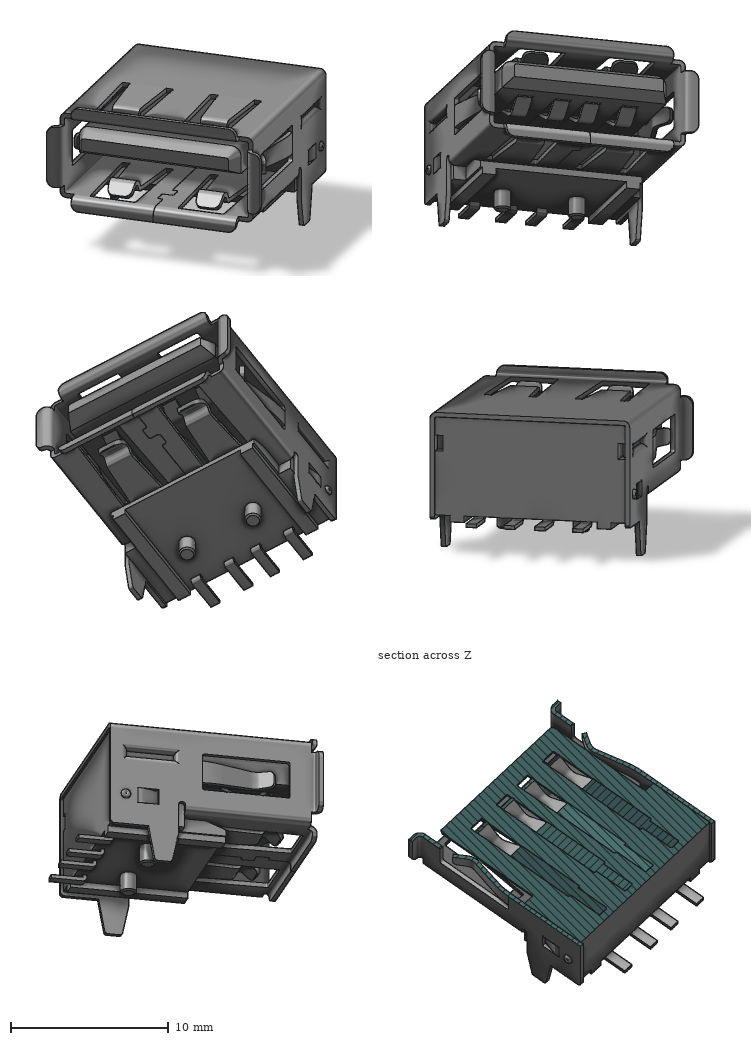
import cadquery as cq
import math


SHEET = 0.3
SHELL_HALF_WIDTH = 6.55
SHELL_TOP = 7.08
SHELL_BOTTOM = 1.34
SHELL_FRONT = 0.61
SHELL_BACK = 13.8
SHELL_CORNER = 0.43
FLOOR_BACK = 8.88

INNER_HALF_WIDTH = SHELL_HALF_WIDTH - SHEET
INNER_TOP = SHELL_TOP - SHEET
MID_Z = (SHELL_TOP + SHELL_BOTTOM) / 2

LIP_BEND = 0.4
LIP_CORNER = 0.53
LIP_REACH_Z = 0.64
LIP_HALF_WIDTH_X = 5.6
SIDE_LIP_TIP = 7.25
SIDE_LIP_HALF_HEIGHT = 2.05

SEAM_GAP = 0.02
LOBE_HALF_WIDTH = 0.38
LOBE_LENGTH = 0.85
LOBE_FRONT = 1.8
LOBE_CORNER = 0.12

FINGER_X = 3.0
FINGER_ROOT = 7.04
FINGER_STEP = 3.18
FINGER_STEP_DEPTH = 0.06
FINGER_STEP_BEND = 0.23
FINGER_CREST = 2.78
FINGER_CREST_DEPTH = 0.87
FINGER_CREST_BEND = 0.38
FINGER_TIP = 1.76
FINGER_TIP_LIFT = 0.08
FINGER_ROOT_HALF = 1.26
FINGER_TIP_HALF = 0.78
FINGER_TIP_CORNER = 0.45
FINGER_WINDOW_FRONT = 0.64
FINGER_WINDOW_BACK_HALF = 1.73
FINGER_WINDOW_FRONT_HALF = 1.55
WINDOW_CORNER = 0.15

TAB_WINDOW_FRONT = 2.02
TAB_WINDOW_BACK = 7.77
TAB_WINDOW_HEIGHT = 2.46
TAB_BEND = 7.15
TAB_BEND_RADIUS = 5.78
TAB_CREST = 4.07
TAB_CREST_DEPTH = 0.7
TAB_CREST_BEND = 0.99
TAB_TIP = 2.98
TAB_ROOT_HALF = 0.76
TAB_TIP_HALF = 0.5
TAB_TIP_CORNER = 0.33

DIMPLE_FRONT = 9.27
DIMPLE_BACK = 13.0
DIMPLE_BOTTOM = 4.56
DIMPLE_TOP = 5.58
DIMPLE_DEPTH = 0.41
DIMPLE_MOUTH_ROUND = 0.3
DIMPLE_BUMP_ROUND = 0.27

WALL_BOTTOM = 0.15
WALL_CORNER = 0.15
LUG_FRONT = 9.33
LUG_BACK = 11.31
LUG_TIP_FRONT = 9.76
LUG_TIP_BACK = 10.88
LUG_TAPER_TOP = -0.15
LUG_TIP = -2.16
LUG_TIP_CORNER = 0.2
RELIEF_TOP = 2.04
RELIEF_WIDTH = LUG_FRONT - FLOOR_BACK

HOUSING_BACK = 13.63
HOUSING_BOTTOM = 0.43
BLOCK_CORNER = SHELL_CORNER - SHEET
TONGUE_HALF_WIDTH = 5.49
TONGUE_TOP = 6.11
TONGUE_BOTTOM = 4.29
TONGUE_FRONT = 0.3
TONGUE_CORNER = 0.65
NOSE_LENGTH = 0.99
NOSE_INSET = 0.49
DIMPLE_SLOT_DEPTH = 0.5
BASE_HALF_WIDTH = 5.41
BASE_FRONT = 5.95
BASE_FRONT_TOP = 0.85
BASE_SLOPE_BACK = 7.25
FOOT_X = 4.82
FOOT_WIDTH = 0.91
PEG_DIAMETER = 1.05
PEG_X = 2.5
PEG_Y = (LUG_FRONT + LUG_BACK) / 2
PEG_TIP = -0.82
PEG_CHAMFER = 0.1
NUB_DIAMETER = 0.62
NUB_Y = 12.8
NUB_Z = 2.2
NUB_HEIGHT = 0.17
NUB_CENTER_DIAMETER = 0.02
LATCH_FRONT = 10.62
LATCH_CREST = 11.7
LATCH_BACK = 12.01
LATCH_BOTTOM = 1.69
LATCH_TOP = 2.7

CONTACT_X = (-3.5, -1.0, 1.0, 3.5)
CONTACT_THICKNESS = 0.25
ARM_WIDTH = 1.03
TAIL_WIDTH = 0.68
ARM_TIP = 2.81
ARM_CREST = 4.07
ARM_CREST_Z = 3.47
ARM_CREST_BEND = 0.76
ARM_ROOT = 6.08
ARM_BACK = 10.64
LEG_Y = 13.0
LEG_BEND = 0.15
TAIL_END = 15.2
GROOVE_FRONT = 2.43


def box(x0, x1, y0, y1, z0, z1):
    """Block between two opposite corners."""
    return cq.Workplane("XY").box(x1 - x0, y1 - y0, z1 - z0, centered=False).translate((x0, y0, z0))


def both_sides(shape):
    """A shape together with its mirror image across X = 0."""
    return shape.union(shape.mirror("YZ"))


def top_and_floor(shape):
    """A shape together with its mirror image across the shell's middle height."""
    return shape.union(shape.mirror("XY", (0, 0, MID_Z)))


def side_path(path, radii, offset):
    """Corners and bend radii of a bent strip's face, offset to the left of its middle line."""
    directions = []
    for start, end in zip(path, path[1:]):
        directions.append(math.atan2(end[1] - start[1], end[0] - start[0]))
    directions = [directions[0], *directions, directions[-1]]
    corners = []
    side_radii = []
    for point, radius, before, after in zip(path, [0, *radii, 0], directions, directions[1:]):
        turn = math.remainder(after - before, math.tau)
        mitre = offset / math.cos(turn / 2)
        normal = before + turn / 2 + math.pi / 2
        corners.append((point[0] + mitre * math.cos(normal), point[1] + mitre * math.sin(normal)))
        side_radii.append(radius - math.copysign(1, turn) * offset if radius else 0)
    return corners, side_radii


def draw_side(sketch, corners, radii):
    """Continue a sketch along a face, with an arc at each corner that has a bend radius."""
    for before, corner, after, radius in zip(corners, corners[1:], corners[2:], radii[1:]):
        if radius == 0:
            sketch = sketch.lineTo(*corner)
            continue
        to_before = cq.Vector(*before) - cq.Vector(*corner)
        to_after = cq.Vector(*after) - cq.Vector(*corner)
        half_angle = to_before.getAngle(to_after) / 2
        tangent = radius / math.tan(half_angle)
        to_middle = radius / math.sin(half_angle) - radius
        bisector = to_before.normalized() + to_after.normalized()
        start = cq.Vector(*corner) + to_before.normalized() * tangent
        middle = cq.Vector(*corner) + bisector.normalized() * to_middle
        end = cq.Vector(*corner) + to_after.normalized() * tangent
        sketch = sketch.lineTo(start.x, start.y).threePointArc((middle.x, middle.y), (end.x, end.y))
    return sketch.lineTo(*corners[-1])


def bent_strip(plane, path, radii, thickness, width):
    """Strip of even thickness along a bent middle line; a zero radius leaves a corner sharp."""
    left, left_radii = side_path(path, radii, thickness / 2)
    right, right_radii = side_path(path, radii, -thickness / 2)
    sketch = draw_side(cq.Workplane(plane).moveTo(*left[0]), left, left_radii)
    sketch = sketch.lineTo(*right[-1])
    sketch = draw_side(sketch, right[::-1], right_radii[::-1])
    return sketch.close().extrude(width / 2, both=True)


def shell_tube():
    """Folded box, open at both ends, with no floor behind FLOOR_BACK."""
    length = SHELL_BACK - SHELL_FRONT
    height = SHELL_TOP - SHELL_BOTTOM
    outside = cq.Workplane("XY").box(2 * SHELL_HALF_WIDTH, length, height).edges("|Y").fillet(SHELL_CORNER)
    inside = (
        cq.Workplane("XY")
        .box(2 * INNER_HALF_WIDTH, length, height - 2 * SHEET)
        .edges("|Y")
        .fillet(BLOCK_CORNER)
    )
    tube = outside.cut(inside).translate((0, (SHELL_FRONT + SHELL_BACK) / 2, MID_Z))
    floor_opening = box(
        -SHELL_HALF_WIDTH, SHELL_HALF_WIDTH, FLOOR_BACK, SHELL_BACK, SHELL_BOTTOM, SHELL_BOTTOM + SHELL_CORNER
    )
    return tube.cut(floor_opening)


def rear_wall():
    """Rear part of the +X side wall, reaching down to the board and ending in a tapered lug."""
    return (
        cq.Workplane("YZ", origin=(INNER_HALF_WIDTH, 0, 0))
        .moveTo(LUG_FRONT, MID_Z)
        .lineTo(LUG_FRONT, LUG_TAPER_TOP)
        .lineTo(LUG_TIP_FRONT, LUG_TIP)
        .lineTo(LUG_TIP_BACK, LUG_TIP)
        .lineTo(LUG_BACK, WALL_BOTTOM)
        .lineTo(SHELL_BACK - WALL_CORNER, WALL_BOTTOM)
        .lineTo(SHELL_BACK, WALL_BOTTOM + WALL_CORNER)
        .lineTo(SHELL_BACK, MID_Z)
        .close()
        .extrude(SHEET)
        .edges("|X and <Z")
        .fillet(LUG_TIP_CORNER)
    )


def relief_slot():
    """Round-ended slot in the +X wall between the floor and the lug."""
    radius = RELIEF_WIDTH / 2
    round_center = RELIEF_TOP - radius
    slot = box(INNER_HALF_WIDTH, SHELL_HALF_WIDTH, FLOOR_BACK, LUG_FRONT, SHELL_BOTTOM, round_center)
    plane = cq.Plane(
        origin=(INNER_HALF_WIDTH, FLOOR_BACK + radius, round_center), xDir=(0, 1, 0), normal=(1, 0, 0)
    )
    return slot.union(cq.Workplane(plane).circle(radius).extrude(SHEET))


def top_lip():
    wall_middle = SHELL_TOP - SHEET / 2
    path = [(SHELL_FRONT, wall_middle), (SHEET / 2, wall_middle), (SHEET / 2, SHELL_TOP + LIP_REACH_Z)]
    lip = bent_strip("YZ", path, [LIP_BEND], SHEET, 2 * LIP_HALF_WIDTH_X)
    return lip.edges("|Y and >Z").fillet(LIP_CORNER)


def side_lip():
    wall_middle = SHELL_HALF_WIDTH - SHEET / 2
    path = [(wall_middle, SHELL_FRONT), (wall_middle, SHEET / 2), (SIDE_LIP_TIP, SHEET / 2)]
    lip = bent_strip("XY", path, [LIP_BEND], SHEET, 2 * SIDE_LIP_HALF_HEIGHT)
    return lip.edges("|Y and >X").fillet(LIP_CORNER).translate((0, 0, MID_Z))


def finger_window():
    outline = [
        (-FINGER_WINDOW_BACK_HALF, FINGER_ROOT),
        (FINGER_WINDOW_BACK_HALF, FINGER_ROOT),
        (FINGER_WINDOW_FRONT_HALF, FINGER_WINDOW_FRONT),
        (-FINGER_WINDOW_FRONT_HALF, FINGER_WINDOW_FRONT),
    ]
    window = cq.Workplane("XY").polyline(outline).close().extrude(SHEET).edges("|Z").fillet(WINDOW_CORNER)
    return window.translate((FINGER_X, 0, INNER_TOP))


def spring_taper(root, root_half, tip, tip_half):
    """Tall prism along Z that trims a spring strip to a taper between its root and its tip."""
    outline = [(-root_half, root), (root_half, root), (tip_half, tip), (-tip_half, tip)]
    return cq.Workplane("XY").polyline(outline).close().extrude(SHELL_TOP, both=True)


def finger():
    """Spring finger of the top wall: nearly level, stepped into the mouth, rising again at its tip."""
    root = FINGER_ROOT + SHEET
    wall_middle = SHELL_TOP - SHEET / 2
    path = [
        (root, wall_middle),
        (FINGER_ROOT, wall_middle),
        (FINGER_STEP, wall_middle - FINGER_STEP_DEPTH),
        (FINGER_CREST, wall_middle - FINGER_CREST_DEPTH),
        (FINGER_TIP, wall_middle + FINGER_TIP_LIFT),
    ]
    radii = [0, FINGER_STEP_BEND, FINGER_CREST_BEND]
    strip = bent_strip("YZ", path, radii, SHEET, 2 * FINGER_ROOT_HALF)
    trim = spring_taper(root, FINGER_ROOT_HALF, FINGER_TIP - SHEET, FINGER_TIP_HALF)
    spring = strip.intersect(trim).faces("<Y").edges("not |X").fillet(FINGER_TIP_CORNER)
    return spring.translate((FINGER_X, 0, 0))


def tab_window():
    window = box(
        INNER_HALF_WIDTH,
        SHELL_HALF_WIDTH,
        TAB_WINDOW_FRONT,
        TAB_WINDOW_BACK,
        MID_Z - TAB_WINDOW_HEIGHT / 2,
        MID_Z + TAB_WINDOW_HEIGHT / 2,
    )
    return window.edges("|X").fillet(WINDOW_CORNER)


def tab():
    """Spring tab of the +X wall, bent inward with a large root radius."""
    root = TAB_WINDOW_BACK + SHEET
    wall_middle = SHELL_HALF_WIDTH - SHEET / 2
    path = [
        (wall_middle, root),
        (wall_middle, TAB_BEND),
        (wall_middle - TAB_CREST_DEPTH, TAB_CREST),
        (wall_middle, TAB_TIP),
    ]
    strip = bent_strip("XY", path, [TAB_BEND_RADIUS, TAB_CREST_BEND], SHEET, 2 * TAB_ROOT_HALF)
    trim = spring_taper(root, TAB_ROOT_HALF, TAB_TIP - SHEET, TAB_TIP_HALF)
    trim = trim.rotate((0, 0, 0), (0, 1, 0), 90)
    spring = strip.intersect(trim).faces("<Y").edges("not |Z").fillet(TAB_TIP_CORNER)
    return spring.translate((0, 0, MID_Z))


def dimple_region(outset, x0, x1):
    """Block over the dimple's outline, grown on all sides by the outset."""
    return box(
        x0, x1, DIMPLE_FRONT - outset, DIMPLE_BACK + outset, DIMPLE_BOTTOM - outset, DIMPLE_TOP + outset
    )


def dimple_patch():
    """Replacement for the wall around the dimple, with the pocket's mouth rounded over."""
    wall = dimple_region(SHEET, INNER_HALF_WIDTH, SHELL_HALF_WIDTH)
    bump_face = INNER_HALF_WIDTH - DIMPLE_DEPTH
    bump = dimple_region(0, bump_face, INNER_HALF_WIDTH).faces("<X").edges().fillet(DIMPLE_BUMP_ROUND)
    pocket_floor = SHELL_HALF_WIDTH - DIMPLE_DEPTH
    pocket = dimple_region(-DIMPLE_MOUTH_ROUND, pocket_floor, SHELL_HALF_WIDTH)
    mouth = cq.selectors.BoxSelector(
        (SHELL_HALF_WIDTH - SHEET / 2, DIMPLE_FRONT, DIMPLE_BOTTOM),
        (SHELL_HALF_WIDTH + SHEET / 2, DIMPLE_BACK, DIMPLE_TOP),
    )
    return wall.union(bump).cut(pocket).faces(">X").edges(mouth).fillet(DIMPLE_MOUTH_ROUND)


def seam():
    """Narrow gap that splits the floor and the bottom lip."""
    lobe_middle = LOBE_FRONT + LOBE_LENGTH
    lobe_back = lobe_middle + LOBE_LENGTH
    path = [
        (0, 0),
        (0, LOBE_FRONT),
        (-LOBE_HALF_WIDTH, LOBE_FRONT),
        (-LOBE_HALF_WIDTH, lobe_middle),
        (LOBE_HALF_WIDTH, lobe_middle),
        (LOBE_HALF_WIDTH, lobe_back),
        (0, lobe_back),
        (0, FLOOR_BACK),
    ]
    height = LIP_REACH_Z + 2 * SHEET
    corners = [LOBE_CORNER] * (len(path) - 2)
    gap = bent_strip("XY", path, corners, SEAM_GAP, height)
    return gap.translate((0, 0, SHELL_BOTTOM + SHEET - height / 2))


def latch_window():
    return box(INNER_HALF_WIDTH, SHELL_HALF_WIDTH, LATCH_FRONT, LATCH_BACK, LATCH_BOTTOM, LATCH_TOP)


def nub_cylinder(length):
    plane = cq.Plane(origin=(INNER_HALF_WIDTH, NUB_Y, NUB_Z), xDir=(0, 1, 0), normal=(1, 0, 0))
    return cq.Workplane(plane).circle(NUB_DIAMETER / 2).extrude(length)


def make_shell():
    shell = shell_tube().union(both_sides(rear_wall())).cut(both_sides(relief_slot()))
    shell = shell.union(top_and_floor(top_lip())).union(both_sides(side_lip()))
    shell = shell.cut(top_and_floor(both_sides(finger_window())))
    shell = shell.union(top_and_floor(both_sides(finger())))
    shell = shell.cut(both_sides(tab_window())).union(both_sides(tab()))
    dimple_opening = dimple_region(SHEET, INNER_HALF_WIDTH, SHELL_HALF_WIDTH)
    shell = shell.cut(both_sides(dimple_opening)).union(both_sides(dimple_patch()))
    shell = shell.cut(both_sides(latch_window())).cut(both_sides(nub_cylinder(SHEET)))
    return shell.cut(seam())


def contact_profile(width):
    """Contact strip: sprung arm under the tongue, leg down the back, tail along the board."""
    arm_z = TONGUE_BOTTOM + CONTACT_THICKNESS / 2
    tail_z = CONTACT_THICKNESS / 2
    path = [
        (ARM_TIP, arm_z),
        (ARM_CREST, ARM_CREST_Z),
        (ARM_ROOT, arm_z),
        (LEG_Y, arm_z),
        (LEG_Y, tail_z),
        (TAIL_END, tail_z),
    ]
    radii = [ARM_CREST_BEND, ARM_CREST_BEND, LEG_BEND, LEG_BEND]
    return bent_strip("YZ", path, radii, CONTACT_THICKNESS, width)


def make_contact(x):
    arm = contact_profile(ARM_WIDTH).intersect(box(-ARM_WIDTH, ARM_WIDTH, 0, ARM_BACK, 0, SHELL_TOP))
    return contact_profile(TAIL_WIDTH).union(arm).translate((x, 0, 0))


def rear_block():
    """Block that fills the back of the shell."""
    block = box(-INNER_HALF_WIDTH, INNER_HALF_WIDTH, FLOOR_BACK, HOUSING_BACK, HOUSING_BOTTOM, INNER_TOP)
    block = block.edges("|Y and >Z").fillet(BLOCK_CORNER)
    slot = box(
        INNER_HALF_WIDTH - DIMPLE_SLOT_DEPTH,
        INNER_HALF_WIDTH,
        FLOOR_BACK,
        HOUSING_BACK,
        DIMPLE_BOTTOM,
        DIMPLE_TOP,
    )
    return block.cut(both_sides(slot))


def tongue():
    """Tongue with rounded upper edges and a bevelled nose."""
    nose_back = TONGUE_FRONT + NOSE_LENGTH
    bar = box(-TONGUE_HALF_WIDTH, TONGUE_HALF_WIDTH, nose_back, FLOOR_BACK, TONGUE_BOTTOM, TONGUE_TOP)
    bar = bar.edges("|Y and >Z").fillet(TONGUE_CORNER)
    taper = math.degrees(math.atan(NOSE_INSET / NOSE_LENGTH))
    nose = bar.faces("<Y").wires().toPending().workplane().extrude(NOSE_LENGTH, taper=taper, combine=False)
    return bar.union(nose)


def base():
    """Sloped plate under the shell floor, with a foot along each side."""
    outline = [
        (FLOOR_BACK, HOUSING_BOTTOM),
        (FLOOR_BACK, SHELL_BOTTOM),
        (BASE_SLOPE_BACK, SHELL_BOTTOM),
        (BASE_FRONT, BASE_FRONT_TOP),
        (BASE_FRONT, HOUSING_BOTTOM),
    ]
    plate = cq.Workplane("YZ").polyline(outline).close().extrude(BASE_HALF_WIDTH, both=True)
    foot = box(
        FOOT_X - FOOT_WIDTH / 2, FOOT_X + FOOT_WIDTH / 2, BASE_FRONT, HOUSING_BACK, 0, HOUSING_BOTTOM
    )
    return plate.union(both_sides(foot))


def peg():
    pin = cq.Workplane("XY", origin=(PEG_X, PEG_Y, PEG_TIP)).circle(PEG_DIAMETER / 2)
    return pin.extrude(HOUSING_BOTTOM - PEG_TIP).faces("<Z").chamfer(PEG_CHAMFER)


def nub():
    """Pin through the +X wall; its end is a rounded ring around a small center dimple."""
    radius = NUB_DIAMETER / 2
    center_radius = NUB_CENTER_DIAMETER / 2
    ring_radius = (radius + center_radius) / 2
    rim = SHEET + NUB_HEIGHT - (radius - center_radius) / 2
    return (
        cq.Workplane("XY", origin=(INNER_HALF_WIDTH, NUB_Y, NUB_Z))
        .lineTo(0, radius)
        .lineTo(rim, radius)
        .threePointArc((SHEET + NUB_HEIGHT, ring_radius), (rim, center_radius))
        .lineTo(rim, 0)
        .close()
        .revolve(360, (0, 0, 0), (1, 0, 0))
    )


def latch():
    """Wedge that snaps into the +X wall's latch window."""
    outline = [
        (INNER_HALF_WIDTH, LATCH_FRONT),
        (SHELL_HALF_WIDTH, LATCH_CREST),
        (SHELL_HALF_WIDTH, LATCH_BACK),
        (INNER_HALF_WIDTH, LATCH_BACK),
    ]
    wedge = cq.Workplane("XY", origin=(0, 0, LATCH_BOTTOM)).polyline(outline).close()
    return wedge.extrude(LATCH_TOP - LATCH_BOTTOM)


def contact_groove(x):
    """Groove in the underside of the tongue, in which the contact arm springs."""
    half = ARM_WIDTH / 2
    return box(
        x - half, x + half, GROOVE_FRONT, FLOOR_BACK, TONGUE_BOTTOM, TONGUE_BOTTOM + CONTACT_THICKNESS
    )


def make_housing(contact_bodies):
    housing = rear_block().union(tongue()).union(base())
    for feature in (peg(), nub(), latch()):
        housing = housing.union(both_sides(feature))
    for x in CONTACT_X:
        housing = housing.cut(contact_groove(x))
    for contact in contact_bodies:
        housing = housing.cut(contact)
    return housing


shell = make_shell()
contacts = [make_contact(x) for x in CONTACT_X]
housing = make_housing(contacts)

result = cq.Compound.makeCompound([shell.val(), housing.val(), *[contact.val() for contact in contacts]])